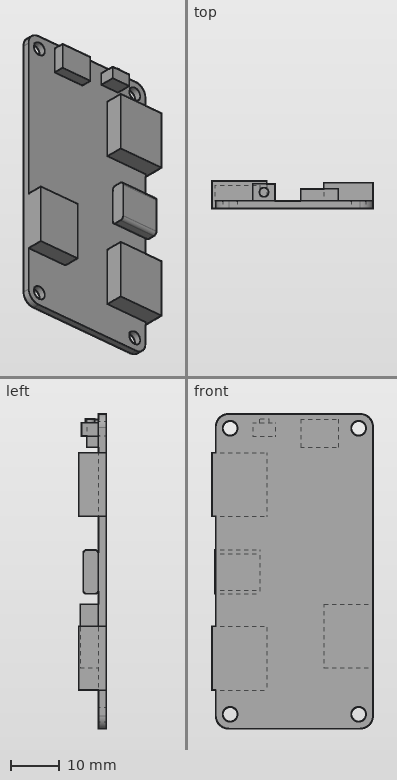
import cadquery as cq

board_width = 32.4
board_height = 64.8
board_thickness = 1.6
corner_radius = 2.7
hole_diameter = 3.0
hole_inset = 3.0

connector_overhang = 0.8
connector_inner_x = 10.55
connector_depth = 5.7
connector_length = 13.15
connector_end_gap = 8.0

socket_overhang = 0.2
socket_inner_x = 9.1
socket_depth = 4.8
socket_bottom = 27.75
socket_length = 9.1
socket_corner_radius = 0.8

button_left = 7.65
button_width = 4.6
button_depth = 5.1
button_bottom = 60.2
button_top = 63.0
plunger_diameter = 1.9
plunger_length = 0.8
plunger_center_y = 3.4

block_left = 17.5
block_width = 7.7
block_depth = 4.1
block_bottom = 57.85
block_top = 63.65

side_block_left = 22.2
side_block_depth = 5.4
side_block_top = 25.65
side_block_length = connector_length


def box_between(x0, x1, y0, y1, z0, z1):
    """Box spanning the given limits along each axis."""
    return cq.Workplane("XY").box(x1 - x0, y1 - y0, z1 - z0, centered=False).translate((x0, y0, z0))


def make_board():
    board = box_between(0, board_width, 0, board_thickness, 0, board_height)
    board = board.edges("|Y").fillet(corner_radius)
    hole_points = [
        (x, z)
        for x in (hole_inset, board_width - hole_inset)
        for z in (hole_inset, board_height - hole_inset)
    ]
    holes = cq.Workplane("XZ").pushPoints(hole_points).circle(hole_diameter / 2).extrude(-board_thickness)
    return board.cut(holes)


def make_connector(bottom):
    return box_between(
        -connector_overhang, connector_inner_x, 0, connector_depth, bottom, bottom + connector_length
    )


def make_socket():
    socket = box_between(
        -socket_overhang, socket_inner_x,
        board_thickness, socket_depth,
        socket_bottom, socket_bottom + socket_length,
    )
    return socket.edges("|X").fillet(socket_corner_radius)


def make_button():
    body = box_between(
        button_left, button_left + button_width, board_thickness, button_depth, button_bottom, button_top
    )
    plunger = (
        cq.Workplane("XY", origin=(button_left + button_width / 2, plunger_center_y, button_top))
        .circle(plunger_diameter / 2)
        .extrude(plunger_length)
    )
    return body.union(plunger)


def make_top_block():
    return box_between(
        block_left, block_left + block_width, board_thickness, block_depth, block_bottom, block_top
    )


def make_side_block():
    return box_between(
        side_block_left, board_width,
        board_thickness, side_block_depth,
        side_block_top - side_block_length, side_block_top,
    )


result = make_board()
for connector_bottom in (connector_end_gap, board_height - connector_end_gap - connector_length):
    result = result.union(make_connector(connector_bottom))
for component in (make_socket(), make_button(), make_top_block(), make_side_block()):
    result = result.union(component)